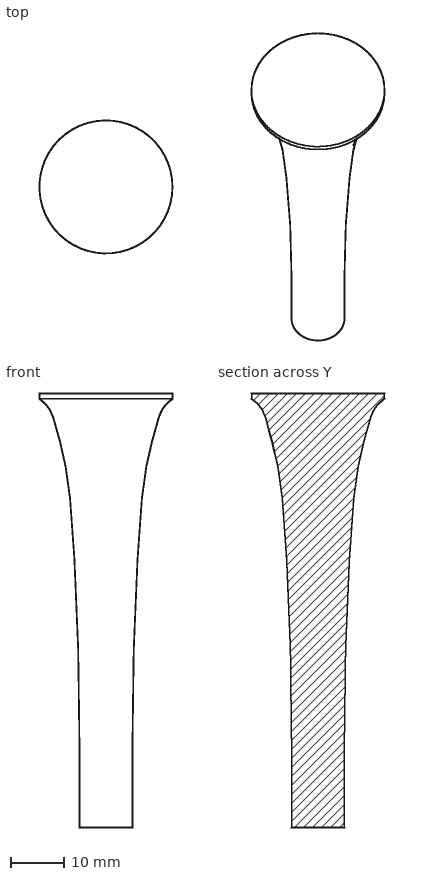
import cadquery as cq

total_height = 81.4
shank_diameter = 10.0
shank_length = 16.3
disc_diameter = 25.0
disc_thickness = 1.05

shank_radius = shank_diameter / 2
disc_radius = disc_diameter / 2
disc_underside = total_height - disc_thickness

flare_points = [
    (5.4, 37.85),
    (6.3, 55.5),
    (7.9, 69.2),
    (9.5, 75.5),
    (11.0, 78.95),
]
shank_direction = (0, 1)
rim_direction = (1, 0.6)


def trumpet_profile():
    """Half section in the XZ plane, closed along the axis of revolution."""
    return (
        cq.Workplane("XZ")
        .lineTo(shank_radius, 0)
        .lineTo(shank_radius, shank_length)
        .spline(
            flare_points + [(disc_radius, disc_underside)],
            tangents=[shank_direction, rim_direction],
            includeCurrent=True,
        )
        .lineTo(disc_radius, total_height)
        .lineTo(0, total_height)
        .close()
    )


result = trumpet_profile().revolve(360, (0, 0), (0, 1))